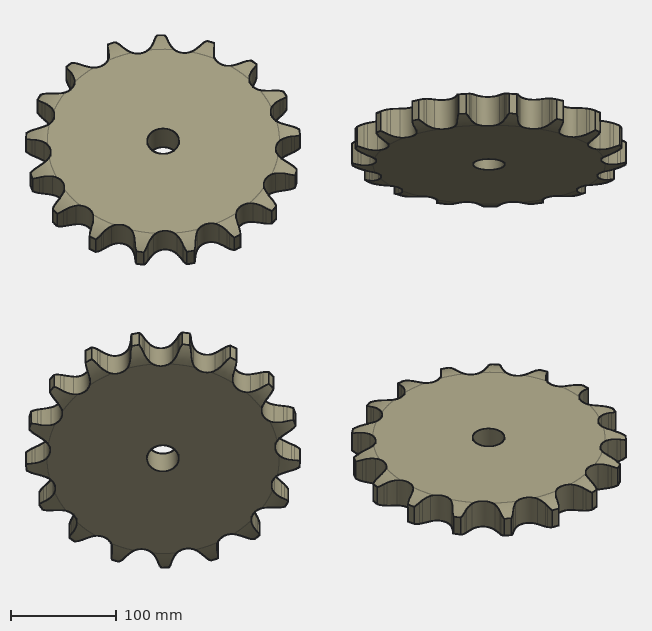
import cadquery as cq
import math


TOOTH_COUNT = 17
PITCH_RADIUS = 121.0
ROLLER_DIAMETER = 28.0
TIP_RADIUS = 130.0
FLAT_FACE_RADIUS = 109.7
THICKNESS = 29.3
BORE_DIAMETER = 30.0
CUTTER_MARGIN = 2.5

TOOTH_ANGLE = 360 / TOOTH_COUNT
CHAIN_PITCH = 2 * PITCH_RADIUS * math.sin(math.radians(TOOTH_ANGLE / 2))
SEAT_RADIUS = 0.5025 * ROLLER_DIAMETER
SEAT_END_ANGLE = -(35 + 60 / TOOTH_COUNT)
FLANK_SWEEP = 18 - 56 / TOOTH_COUNT
FLANK_END_ANGLE = SEAT_END_ANGLE + FLANK_SWEEP
FLANK_RADIUS = 1.3025 * ROLLER_DIAMETER
TIP_LEAN = math.radians(17 - 64 / TOOTH_COUNT)
STRAIGHT_LENGTH = ROLLER_DIAMETER * (
    1.4 * math.sin(TIP_LEAN) - 0.8 * math.sin(math.radians(FLANK_SWEEP))
)
TOPPING_RADIUS = ROLLER_DIAMETER * (
    0.8 * math.cos(math.radians(FLANK_SWEEP)) + 1.4 * math.cos(TIP_LEAN) - 1.3025
)
RELIEF_RADIUS = CHAIN_PITCH


def offset(point, distance, angle):
    """Point at a distance and direction (degrees) from another point."""
    turn = math.radians(angle)
    return (point[0] + distance * math.cos(turn), point[1] + distance * math.sin(turn))


def mirrored(point):
    return (-point[0], point[1])


def topping_end(centre):
    """Where the topping arc meets the tip circle, on the side facing the gap."""
    reach = math.hypot(*centre)
    cosine = (TIP_RADIUS**2 + reach**2 - TOPPING_RADIUS**2) / (2 * TIP_RADIUS * reach)
    direction = math.degrees(math.atan2(centre[1], centre[0]) + math.acos(cosine))
    return offset((0, 0), TIP_RADIUS, direction)


def tooth_gap():
    """Cutter for the gap centred on +Y; its arcs and lines run tangent into each other."""
    roller_centre = (0, PITCH_RADIUS)
    gap_bottom = offset(roller_centre, SEAT_RADIUS, -90)
    seat_end = offset(roller_centre, SEAT_RADIUS, SEAT_END_ANGLE)

    flank_centre = offset(seat_end, -FLANK_RADIUS, SEAT_END_ANGLE)
    flank_middle = offset(flank_centre, FLANK_RADIUS, SEAT_END_ANGLE + FLANK_SWEEP / 2)
    flank_end = offset(flank_centre, FLANK_RADIUS, FLANK_END_ANGLE)

    straight_end = offset(flank_end, STRAIGHT_LENGTH, FLANK_END_ANGLE + 90)

    topping_centre = offset(straight_end, TOPPING_RADIUS, FLANK_END_ANGLE)
    tip = topping_end(topping_centre)
    tip_angle = math.degrees(math.atan2(tip[1] - topping_centre[1], tip[0] - topping_centre[0]))
    topping_middle_angle = (tip_angle + FLANK_END_ANGLE + 180) / 2
    topping_middle = offset(topping_centre, TOPPING_RADIUS, topping_middle_angle)

    outer_corner = (tip[0], TIP_RADIUS + CUTTER_MARGIN)

    return (
        cq.Workplane("XY", origin=(0, 0, -THICKNESS / 2))
        .moveTo(*outer_corner)
        .lineTo(*tip)
        .threePointArc(topping_middle, straight_end)
        .lineTo(*flank_end)
        .threePointArc(flank_middle, seat_end)
        .threePointArc(gap_bottom, mirrored(seat_end))
        .threePointArc(mirrored(flank_middle), mirrored(flank_end))
        .lineTo(*mirrored(straight_end))
        .threePointArc(mirrored(topping_middle), mirrored(tip))
        .lineTo(*mirrored(outer_corner))
        .close()
        .extrude(THICKNESS)
    )


def blank():
    """Revolved disc whose rim is thinned by an arc on both faces."""
    half_thickness = THICKNESS / 2
    relief_width = TIP_RADIUS - FLAT_FACE_RADIUS
    relief_angle = math.degrees(math.asin(relief_width / RELIEF_RADIUS))
    relief_centre = (FLAT_FACE_RADIUS, half_thickness - RELIEF_RADIUS)
    relief_middle = offset(relief_centre, RELIEF_RADIUS, 90 - relief_angle / 2)
    rim = offset(relief_centre, RELIEF_RADIUS, 90 - relief_angle)

    return (
        cq.Workplane("XZ")
        .moveTo(0, -half_thickness)
        .lineTo(FLAT_FACE_RADIUS, -half_thickness)
        .threePointArc((relief_middle[0], -relief_middle[1]), (rim[0], -rim[1]))
        .lineTo(*rim)
        .threePointArc(relief_middle, (FLAT_FACE_RADIUS, half_thickness))
        .lineTo(0, half_thickness)
        .close()
        .revolve(360, (0, 0), (0, 1))
    )


sprocket = blank()
gap = tooth_gap()
for index in range(TOOTH_COUNT):
    sprocket = sprocket.cut(gap.rotate((0, 0, 0), (0, 0, 1), index * TOOTH_ANGLE))

result = sprocket.faces(">Z").workplane(origin=(0, 0, 0)).hole(BORE_DIAMETER)